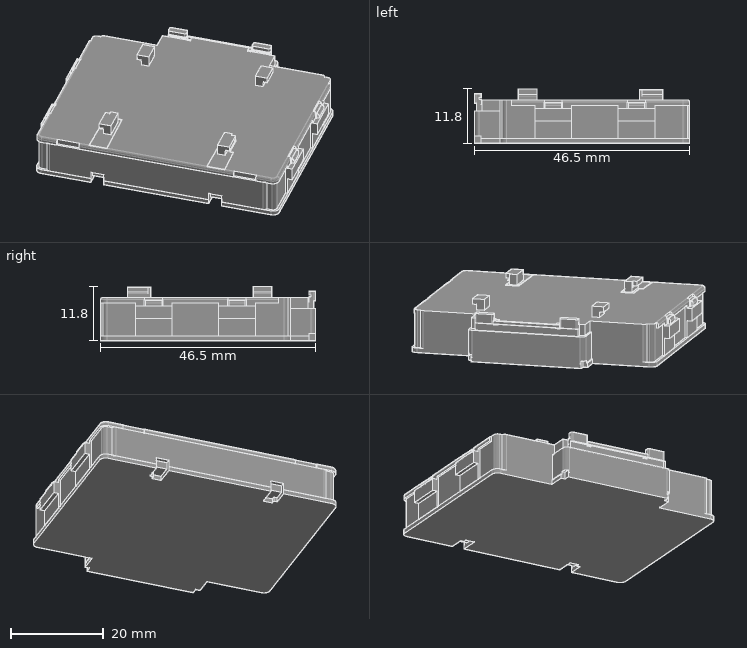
import cadquery as cq

OVERALL_WIDTH = 56.95
OVERALL_DEPTH = 46.55
OVERALL_HEIGHT = 11.8

BODY_WIDTH = 55.0
BODY_DEPTH = 41.1
CORNER_RADIUS = 1.4
FLANGE_TOP = 1.0
LID_WIDTH = 54.85
LID_BOTTOM = 8.2
LID_TOP = 9.4
LID_ROUNDING = 0.5
LID_RIM_END_Y = 38.5
WALL_INSET = 0.5

PANEL_HALF_WIDTH = 25.0
PANEL_FACE_Y = 0.05
PANEL_EDGE_RADIUS = 0.8
PANEL_BACK_Y = 2.85

BACK_PANEL_HALF_WIDTH = 25.45

RIM_OPENING_INNER = 17.55
RIM_OPENING_OUTER = 22.55

NOTCH_INNER = 11.9
NOTCH_OUTER = 14.8
NOTCH_HEIGHT = 2.6
NOTCH_DEPTH = 1.2
CHANNEL_DEPTH = 4.55
CHANNEL_SHALLOW_DEPTH = 3.7
CHANNEL_STEP_WIDTH = 0.8

LATCH_CENTRES_Y = (11.5, 29.5)
LATCH_WIDTH = 8.0
BLOCK_BOTTOM = 4.8
BLOCK_TOP = 7.6
SIDE_HOOK_WIDTH = 3.55
SIDE_HOOK_TIP_X = 28.15
SIDE_HOOK_TOP = 8.8
SIDE_HOOK_RADIUS = 0.55
SIDE_RIB_WIDTH = 4.1
SIDE_RIB_FACE_X = 27.7
SIDE_OPENING_WIDTH = 3.9
SIDE_OPENING_BOTTOM = 8.85

TAB_WIDTH = 26.8
TAB_WALL_INSET = 0.2
TAB_CORNER_RADIUS = 1.0
TAB_LOWER_TOP = 7.0
TAB_UPPER_HALF_WIDTH = 12.75
TAB_UPPER_BACK_Y = 46.15
TAB_RELIEF_INNER = 6.5
TAB_RELIEF_FRONT_Y = 44.9
TAB_RELIEF_FLOOR = 8.45
TAB_FOOT_CUT_LENGTH = 1.4
TAB_FOOT_CUT_HEIGHT = 1.6

TAB_HOOK_INNER = 7.45
TAB_HOOK_OUTER = 11.55
TAB_HOOK_FRONT_Y = 45.05
TAB_HOOK_TOP = 10.75
TAB_HOOK_HEAD_BOTTOM = 9.85
TAB_HOOK_NECK_FRONT_Y = 45.5
TAB_HOOK_LIP_BOTTOM = 8.65
TAB_HOOK_ROUNDING = 0.35
TAB_RIDGE_TOP = 9.35
TAB_HOOK_FOOT_INNER = 7.2
TAB_HOOK_FOOT_BACK_Y = 45.7
TAB_HOOK_FOOT_TOP = 9.55

CLIP_INNER = 12.1
CLIP_STEM_OUTER = 13.8
CLIP_OUTER = 14.75
CLIP_OVERHANG_BOTTOM = 10.6
CLIP_BEVEL_HEIGHT = 0.4
CLIP_BEVEL_WIDTH = 0.1
BACK_CLIP_Y = (33.0, 37.1)
FRONT_CLIP_Y = (5.8, 10.9)
FRONT_CLIP_HEAD_BACK_Y = 10.3
FRONT_CLIP_TOP = 11.6

RECESS_DEPTH = 0.1
RECESS_BACK_Y = 11.85
RECESS_STEP_Y = 7.3
RECESS_BACK_X = (11.5, 14.4)
RECESS_STEP_OUTER = 15.2
RECESS_FRONT_X = (11.35, 15.4)

BODY_HALF_WIDTH = BODY_WIDTH / 2
WALL_CORNER_RADIUS = CORNER_RADIUS - WALL_INSET
LID_HALF_WIDTH = LID_WIDTH / 2
SIDES = (-1, 1)


def box(x_range, y_range, z_range):
    """Axis-aligned box spanning the three ranges."""
    x0, x1 = sorted(x_range)
    y0, y1 = y_range
    z0, z1 = z_range
    return cq.Workplane("XY").box(x1 - x0, y1 - y0, z1 - z0, centered=False).translate((x0, y0, z0))


def side_box(side, inner, outer, y_range, z_range):
    """Box between two distances from the symmetry plane, on one side of it."""
    return box((side * inner, side * outer), y_range, z_range)


def centred_range(centre, width):
    return (centre - width / 2, centre + width / 2)


def rounded_block(half_width, y_range, z_range, radius):
    return box((-half_width, half_width), y_range, z_range).edges("|Z").fillet(radius)


def make_lid():
    """Lid plate, rounded along its front and sides; the sharp rear end lines up with the walls."""
    lid = rounded_block(LID_HALF_WIDTH, (0, BODY_DEPTH), (LID_BOTTOM, LID_TOP), CORNER_RADIUS)
    lid = lid.faces(">Z").edges().fillet(LID_ROUNDING)
    lid = lid.intersect(box((-LID_HALF_WIDTH, LID_HALF_WIDTH), (0, LID_RIM_END_Y), (LID_BOTTOM, LID_TOP)))
    for side in SIDES:
        lid = lid.cut(side_box(side, RIM_OPENING_INNER, RIM_OPENING_OUTER,
                               (0, LID_ROUNDING), (LID_BOTTOM, LID_TOP)))
        for centre_y in LATCH_CENTRES_Y:
            lid = lid.cut(side_box(side, LID_HALF_WIDTH - LID_ROUNDING, LID_HALF_WIDTH,
                                   centred_range(centre_y, SIDE_OPENING_WIDTH),
                                   (SIDE_OPENING_BOTTOM, LID_TOP)))
    rear = rounded_block(BODY_HALF_WIDTH - WALL_INSET, (BODY_DEPTH / 2, BODY_DEPTH - WALL_INSET),
                         (LID_BOTTOM, LID_TOP), WALL_CORNER_RADIUS)
    rear = rear.intersect(box((-LID_HALF_WIDTH, LID_HALF_WIDTH), (LID_RIM_END_Y, BODY_DEPTH),
                              (LID_BOTTOM, LID_TOP)))
    return lid.union(rear)


def make_housing():
    """Flange, walls, front and back panels, and lid."""
    flange = rounded_block(BODY_HALF_WIDTH, (0, BODY_DEPTH), (0, FLANGE_TOP), CORNER_RADIUS)
    walls = rounded_block(BODY_HALF_WIDTH - WALL_INSET, (WALL_INSET, BODY_DEPTH - WALL_INSET),
                          (FLANGE_TOP, LID_BOTTOM), WALL_CORNER_RADIUS)
    panel = box((-PANEL_HALF_WIDTH, PANEL_HALF_WIDTH), (PANEL_FACE_Y, PANEL_BACK_Y),
                (FLANGE_TOP, LID_BOTTOM))
    panel = panel.edges("|Z and <Y").fillet(PANEL_EDGE_RADIUS)
    back_panel = box((-BACK_PANEL_HALF_WIDTH, BACK_PANEL_HALF_WIDTH), (LID_RIM_END_Y, BODY_DEPTH),
                     (FLANGE_TOP, LID_TOP))
    back_panel = back_panel.edges("|Z and >Y").fillet(PANEL_EDGE_RADIUS)
    return flange.union(walls).union(panel).union(back_panel).union(make_lid())


def make_tab():
    """Stepped tab on the back edge, with two hooks joined by a ridge along its back."""
    root_y = BODY_DEPTH - CORNER_RADIUS
    half_width = TAB_WIDTH / 2
    wall_half_width = half_width - TAB_WALL_INSET
    foot = box((-half_width, half_width), (root_y, OVERALL_DEPTH), (0, FLANGE_TOP))
    foot = foot.edges("|Z and >Y").fillet(TAB_CORNER_RADIUS)
    lower = box((-wall_half_width, wall_half_width), (root_y, OVERALL_DEPTH), (FLANGE_TOP, TAB_LOWER_TOP))
    lower = lower.edges("|Z and >Y").fillet(TAB_CORNER_RADIUS)
    upper = box((-TAB_UPPER_HALF_WIDTH, TAB_UPPER_HALF_WIDTH), (root_y, TAB_UPPER_BACK_Y),
                (TAB_LOWER_TOP, LID_TOP))
    ridge = box((-TAB_HOOK_INNER, TAB_HOOK_INNER), (TAB_UPPER_BACK_Y, OVERALL_DEPTH),
                (TAB_HOOK_LIP_BOTTOM, TAB_RIDGE_TOP))
    tab = foot.union(lower).union(upper).union(ridge)
    for side in SIDES:
        tab = tab.cut(side_box(side, TAB_RELIEF_INNER, TAB_UPPER_HALF_WIDTH,
                               (TAB_RELIEF_FRONT_Y, TAB_UPPER_BACK_Y), (TAB_RELIEF_FLOOR, LID_TOP)))
        tab = tab.cut(side_box(side, TAB_HOOK_OUTER, TAB_UPPER_HALF_WIDTH,
                               (TAB_RELIEF_FRONT_Y, TAB_UPPER_BACK_Y), (TAB_LOWER_TOP, LID_TOP)))
        tab = tab.cut(side_box(side, half_width - TAB_CORNER_RADIUS, half_width,
                               (OVERALL_DEPTH - TAB_FOOT_CUT_LENGTH, OVERALL_DEPTH),
                               (0, TAB_FOOT_CUT_HEIGHT)))
        tab = tab.union(make_tab_hook(side))
    return tab


def make_tab_hook(side):
    """Hook with a forward-facing head on a thin neck, a lip over the back and a wider foot."""
    head = side_box(side, TAB_HOOK_INNER, TAB_HOOK_OUTER, (TAB_HOOK_FRONT_Y, OVERALL_DEPTH),
                    (TAB_HOOK_HEAD_BOTTOM, TAB_HOOK_TOP))
    head = head.edges("|Z").fillet(TAB_HOOK_ROUNDING)
    neck = side_box(side, TAB_HOOK_INNER, TAB_HOOK_OUTER, (TAB_HOOK_NECK_FRONT_Y, TAB_UPPER_BACK_Y),
                    (TAB_RELIEF_FLOOR, TAB_HOOK_HEAD_BOTTOM))
    lip = side_box(side, TAB_HOOK_INNER, TAB_HOOK_OUTER, (TAB_HOOK_NECK_FRONT_Y, OVERALL_DEPTH),
                   (TAB_HOOK_LIP_BOTTOM, TAB_HOOK_HEAD_BOTTOM))
    lip = lip.edges("|Z and >Y").fillet(TAB_HOOK_ROUNDING)
    foot = side_box(side, TAB_HOOK_FOOT_INNER, TAB_HOOK_OUTER, (TAB_HOOK_FRONT_Y, TAB_HOOK_FOOT_BACK_Y),
                    (TAB_RELIEF_FLOOR, TAB_HOOK_FOOT_TOP))
    return head.union(neck).union(lip).union(foot)


def make_side_latch(side, centre_y):
    """Wall pad with a protruding block, topped by a rounded hook on a wider rib."""
    latch_y = centred_range(centre_y, LATCH_WIDTH)
    wall_x = BODY_HALF_WIDTH - CORNER_RADIUS
    pad = side_box(side, wall_x, LID_HALF_WIDTH, latch_y, (FLANGE_TOP, LID_BOTTOM))
    block = side_box(side, wall_x, OVERALL_WIDTH / 2, latch_y, (BLOCK_BOTTOM, BLOCK_TOP))
    rib = side_box(side, wall_x, SIDE_RIB_FACE_X, centred_range(centre_y, SIDE_RIB_WIDTH),
                   (BLOCK_TOP, SIDE_OPENING_BOTTOM))
    hook = side_box(side, wall_x, SIDE_HOOK_TIP_X, centred_range(centre_y, SIDE_HOOK_WIDTH),
                    (BLOCK_TOP, SIDE_HOOK_TOP))
    tip_selector = ">X" if side > 0 else "<X"
    hook = hook.faces(">Z").edges(tip_selector).fillet(SIDE_HOOK_RADIUS)
    return pad.union(block).union(rib).union(hook)


def make_clip(side, y_range, top, head_back_y):
    """Clip on the lid; its outward overhang may stop short of the stem's back end."""
    front_y, back_y = y_range
    bevel_bottom = CLIP_OVERHANG_BOTTOM - CLIP_BEVEL_HEIGHT
    profile = [
        (CLIP_INNER, LID_TOP - RECESS_DEPTH),
        (CLIP_STEM_OUTER, LID_TOP - RECESS_DEPTH),
        (CLIP_STEM_OUTER, bevel_bottom),
        (CLIP_STEM_OUTER + CLIP_BEVEL_WIDTH, CLIP_OVERHANG_BOTTOM),
        (CLIP_OUTER, CLIP_OVERHANG_BOTTOM),
        (CLIP_OUTER, top),
        (CLIP_INNER, top),
    ]
    clip = cq.Workplane("XZ", origin=(0, back_y, 0)).polyline([(side * x, z) for x, z in profile])
    clip = clip.close().extrude(back_y - front_y)
    if head_back_y < back_y:
        clip = clip.cut(side_box(side, CLIP_STEM_OUTER, CLIP_OUTER, (head_back_y, back_y),
                                 (bevel_bottom, top)))
    return clip


def make_recess(side):
    """Slightly tapered strip sunk into the lid around a front clip."""
    outline = [
        (RECESS_FRONT_X[0], LID_ROUNDING),
        (RECESS_FRONT_X[1], LID_ROUNDING),
        (RECESS_STEP_OUTER, RECESS_STEP_Y),
        (RECESS_BACK_X[1], RECESS_STEP_Y),
        (RECESS_BACK_X[1], RECESS_BACK_Y),
        (RECESS_BACK_X[0], RECESS_BACK_Y),
    ]
    sketch = cq.Workplane("XY", origin=(0, 0, LID_TOP)).polyline([(side * x, y) for x, y in outline])
    return sketch.close().extrude(-RECESS_DEPTH)


def make_bottom_notch(side):
    """Notch in the front edge, with a stepped channel running back under the base."""
    notch = side_box(side, NOTCH_INNER, NOTCH_OUTER, (0, NOTCH_DEPTH), (0, NOTCH_HEIGHT))
    shallow = side_box(side, NOTCH_INNER, NOTCH_OUTER, (0, CHANNEL_SHALLOW_DEPTH), (0, FLANGE_TOP))
    deep = side_box(side, NOTCH_INNER, NOTCH_OUTER - CHANNEL_STEP_WIDTH, (0, CHANNEL_DEPTH), (0, FLANGE_TOP))
    return notch.union(shallow).union(deep)


result = make_housing().union(make_tab())
for side in SIDES:
    result = result.cut(make_bottom_notch(side)).cut(make_recess(side))
    for centre_y in LATCH_CENTRES_Y:
        result = result.union(make_side_latch(side, centre_y))
    result = result.union(make_clip(side, BACK_CLIP_Y, OVERALL_HEIGHT, BACK_CLIP_Y[1]))
    result = result.union(make_clip(side, FRONT_CLIP_Y, FRONT_CLIP_TOP, FRONT_CLIP_HEAD_BACK_Y))